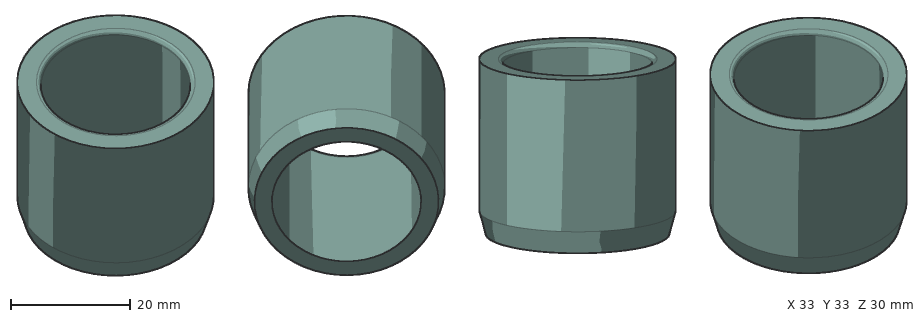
import cadquery as cq
import math

outer_diameter = 33.0
height = 30.0
bore_diameter = 25.0
bore_fillet = 0.8
lead_in_height = 4.0
lead_in_angle = 15.0

outer_radius = outer_diameter / 2
bore_radius = bore_diameter / 2
lead_in_radius = outer_radius - lead_in_height * math.tan(math.radians(lead_in_angle))

half_section = (
    cq.Workplane("XZ")
    .moveTo(bore_radius, 0)
    .lineTo(lead_in_radius, 0)
    .lineTo(outer_radius, lead_in_height)
    .lineTo(outer_radius, height)
    .lineTo(bore_radius + bore_fillet, height)
    .radiusArc((bore_radius, height - bore_fillet), -bore_fillet)
    .close()
)

result = half_section.revolve(360, (0, 0, 0), (0, 1, 0))